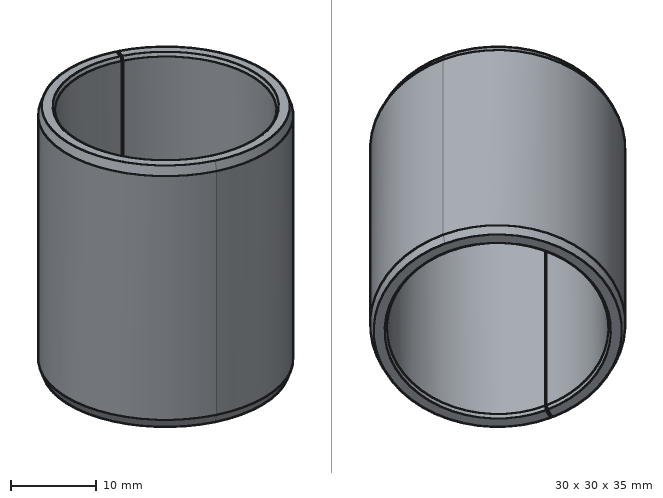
import cadquery as cq
import math

length = 35.0
outer_diameter = 30.0
wall = 2.0
outer_chamfer_height = 1.2
outer_chamfer_angle = 20.0
inner_chamfer_depth = 0.28
inner_chamfer_height = 0.5
slit_width = 0.2

outer_radius = outer_diameter / 2
inner_radius = outer_radius - wall
outer_chamfer_depth = outer_chamfer_height * math.tan(math.radians(outer_chamfer_angle))


def make_sleeve():
    """Revolve the wall section, chamfered at all four corners, about Z."""
    end_outer_radius = outer_radius - outer_chamfer_depth
    end_inner_radius = inner_radius + inner_chamfer_depth
    section = (
        cq.Workplane("XZ")
        .moveTo(end_inner_radius, 0)
        .lineTo(end_outer_radius, 0)
        .lineTo(outer_radius, outer_chamfer_height)
        .lineTo(outer_radius, length - outer_chamfer_height)
        .lineTo(end_outer_radius, length)
        .lineTo(end_inner_radius, length)
        .lineTo(inner_radius, length - inner_chamfer_height)
        .lineTo(inner_radius, inner_chamfer_height)
        .close()
    )
    return section.revolve(360, (0, 0, 0), (0, 1, 0))


def make_slit():
    """Full-length cutter that passes through the wall on the -X side only, with one face on Y = 0."""
    return cq.Workplane("XY").box(
        outer_diameter, slit_width, length, centered=False
    ).translate((-outer_diameter, 0, 0))


result = make_sleeve().cut(make_slit())